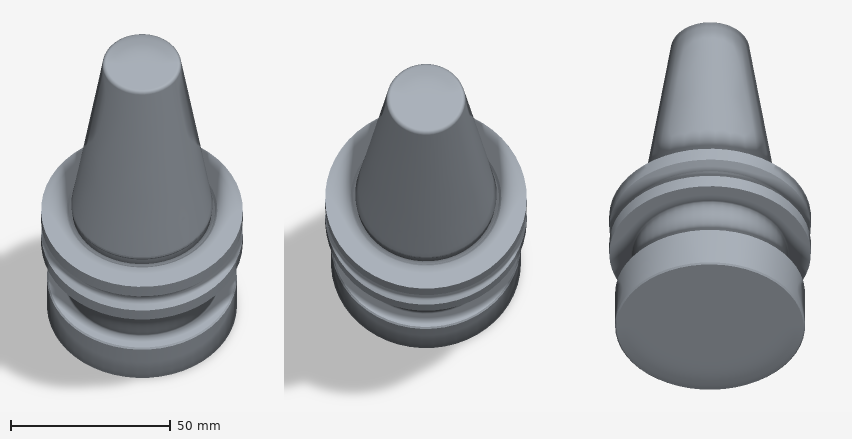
import cadquery as cq
import math

total_height = 118.4

collar_diameter = 59.7
collar_height = 14.7
collar_edge_chamfer = 0.5

neck_diameter = 48.8
neck_fillet = 0.5

flange_diameter = 63.3
flange_bottom = 31.0
flange_thickness = 15.9

vee_floor_diameter = 56.1
vee_center_height = 38.8
vee_mouth_width = 6.9
vee_flank_angle = 30.0
vee_floor_fillet = 0.7

gauge_diameter = 44.4
gauge_offset = 3.2
gauge_band_width = 0.7
relief_diameter = 43.8
relief_lead_in = 0.7
taper_per_length = 7 / 24
tip_fillet = 1.2

face_recess_diameter = 47.4
face_recess_floor_diameter = 45.9
face_recess_depth = 0.5

flange_top = flange_bottom + flange_thickness
gauge_height = flange_top + gauge_offset
band_bottom = gauge_height - gauge_band_width
tip_diameter = gauge_diameter - taper_per_length * (total_height - gauge_height)


def cylinder(diameter, bottom, top):
    return cq.Workplane("XY").workplane(offset=bottom).circle(diameter / 2).extrude(top - bottom)


def revolved(points):
    """Turn an outline of (radius, height) points around the Z axis."""
    return cq.Workplane("XZ").polyline(points).close().revolve(360, (0, 0), (0, 1))


def make_collar():
    return cylinder(collar_diameter, 0, collar_height).edges().chamfer(collar_edge_chamfer)


def make_flange():
    """Gripper flange with a V-groove and a shallow conical-walled recess in its upper face."""
    floor_radius = vee_floor_diameter / 2
    rim_radius = flange_diameter / 2
    mouth_half = vee_mouth_width / 2
    floor_half = mouth_half - (rim_radius - floor_radius) * math.tan(math.radians(vee_flank_angle))
    groove = revolved([
        (floor_radius, vee_center_height - floor_half),
        (rim_radius, vee_center_height - mouth_half),
        (rim_radius, vee_center_height + mouth_half),
        (floor_radius, vee_center_height + floor_half),
    ])
    flange = cylinder(flange_diameter, flange_bottom, flange_top).cut(groove)
    floor_edges = cq.selectors.RadiusNthSelector(0)
    flange = flange.edges("%CIRCLE").edges(floor_edges).fillet(vee_floor_fillet)
    recess = revolved([
        (0, flange_top),
        (face_recess_diameter / 2, flange_top),
        (face_recess_floor_diameter / 2, flange_top - face_recess_depth),
        (0, flange_top - face_recess_depth),
    ])
    return flange.cut(recess)


def make_taper():
    """Steep taper with its gauge band and the relieved neck beneath it."""
    taper = revolved([
        (0, flange_bottom),
        (relief_diameter / 2, flange_bottom),
        (relief_diameter / 2, band_bottom - relief_lead_in),
        (gauge_diameter / 2, band_bottom),
        (gauge_diameter / 2, gauge_height),
        (tip_diameter / 2, total_height),
        (0, total_height),
    ])
    return taper.faces(">Z").edges().fillet(tip_fillet)


def make_neck_with_flares():
    """Neck cylinder with concave fillets meeting the collar and the flange."""
    neck_radius = neck_diameter / 2
    flare_radius = neck_radius + neck_fillet
    inset = neck_fillet * (1 - math.sqrt(0.5))
    outline = (
        cq.Workplane("XZ")
        .moveTo(0, collar_height)
        .lineTo(flare_radius, collar_height)
        .threePointArc((neck_radius + inset, collar_height + inset), (neck_radius, collar_height + neck_fillet))
        .lineTo(neck_radius, flange_bottom - neck_fillet)
        .threePointArc((neck_radius + inset, flange_bottom - inset), (flare_radius, flange_bottom))
        .lineTo(0, flange_bottom)
        .close()
    )
    return outline.revolve(360, (0, 0), (0, 1))


result = make_collar().union(make_neck_with_flares()).union(make_flange()).union(make_taper())